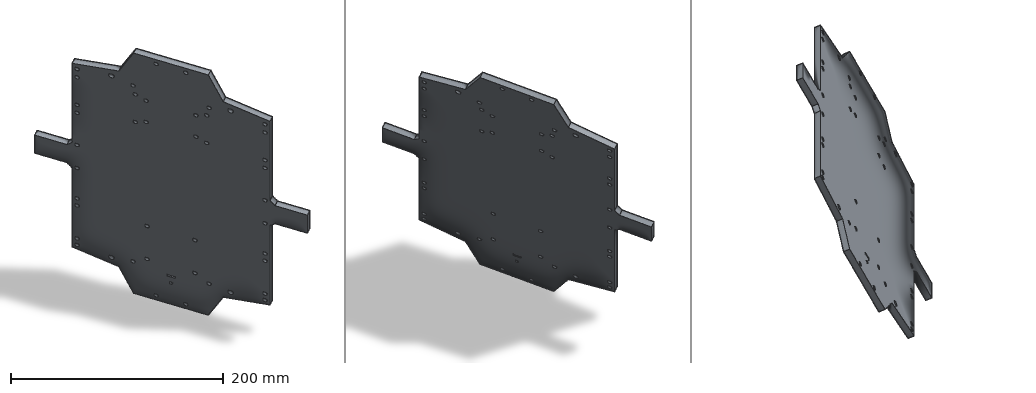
import cadquery as cq

plate_height = 340.0
plate_thickness = 6.5
body_width = 200.0

tip_width = 75.5
neck_width = 105.5
neck_z = 138.5
shoulder_z = 130.0

tab_span = 275.5
tab_height = 25.5
tab_bevel = 5.0

mount_hole_diameter = 4.5
corner_hole_diameter = 5.5
pilot_hole_diameter = 3.0

top_row_z = 123.8
upper_row_z = 112.2
upper_middle_row_z = 73.0
lower_middle_row_z = -69.5
lower_row_z = -116.0
bottom_row_z = -125.0

edge_column_x = 95.0
tab_hole_z = 16.3
edge_column_rows = [
    top_row_z, upper_row_z, upper_middle_row_z, 62.0, tab_hole_z,
    -tab_hole_z, -59.0, lower_middle_row_z, lower_row_z, bottom_row_z,
]

inner_patterns = [
    (38.5, [top_row_z, bottom_row_z]),
    (36.0, [upper_row_z, upper_middle_row_z]),
    (25.0, [107.8, 77.5]),
    (24.0, [lower_middle_row_z, lower_row_z]),
]

tip_hole_x = 15.0
tip_hole_z = 164.0
corner_hole_x = 60.2
corner_hole_z = 128.5

slot_length = 8.0
slot_width = 2.0
slot_z = -130.5
pilot_hole_z = -140.0


def make_plate():
    """Plate whose upper right outline is repeated in the other three quarters."""
    half_body = body_width / 2
    half_tab = tab_height / 2
    upper_right = [
        (tab_span / 2, half_tab),
        (half_body + tab_bevel, half_tab),
        (half_body, half_tab + tab_bevel),
        (half_body, shoulder_z),
        (neck_width / 2, neck_z),
        (tip_width / 2, plate_height / 2),
    ]
    upper_left = [(-x, z) for x, z in reversed(upper_right)]
    upper_half = upper_right + upper_left
    lower_half = [(-x, -z) for x, z in upper_half]
    outline = cq.Workplane("XZ").polyline(upper_half + lower_half).close()
    return outline.extrude(plate_thickness / 2, both=True)


def mirrored_pairs(half_spacing, rows):
    """Points at +X and -X on every row."""
    return [(side * half_spacing, z) for z in rows for side in (-1, 1)]


def hole_cutter(points, diameter):
    """Cylinders along Y that reach through the whole plate."""
    circles = cq.Workplane("XZ").pushPoints(points).circle(diameter / 2)
    return circles.extrude(plate_thickness, both=True)


mount_points = mirrored_pairs(edge_column_x, edge_column_rows)
mount_points += mirrored_pairs(tip_hole_x, [tip_hole_z, -tip_hole_z])
for half_spacing, rows in inner_patterns:
    mount_points += mirrored_pairs(half_spacing, rows)
corner_points = mirrored_pairs(corner_hole_x, [corner_hole_z, -corner_hole_z])

slot_cutter = (
    cq.Workplane("XZ")
    .center(0, slot_z)
    .rect(slot_length, slot_width)
    .extrude(plate_thickness, both=True)
)

result = (
    make_plate()
    .cut(hole_cutter(mount_points, mount_hole_diameter))
    .cut(hole_cutter(corner_points, corner_hole_diameter))
    .cut(hole_cutter([(0, pilot_hole_z)], pilot_hole_diameter))
    .cut(slot_cutter)
)